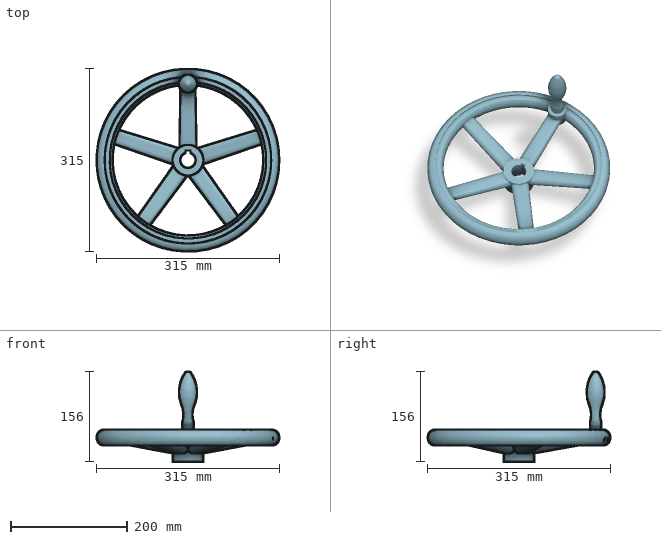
import cadquery as cq
import math

WHEEL_RADIUS = 157.5
RIM_TUBE_RADIUS = 14.0
RIM_RADIUS = WHEEL_RADIUS - RIM_TUBE_RADIUS
RIM_CENTER_Z = 42.0
RIM_TOP_Z = RIM_CENTER_Z + RIM_TUBE_RADIUS
RIM_STEP_DEPTH = 3.0

HUB_RADIUS = 26.5
HUB_HEIGHT = 33.0
BORE_RADIUS = 13.0
KEYWAY_WIDTH = 8.0
KEYWAY_TOP = 16.3

SPOKE_COUNT = 5
SPOKE_FIRST_ANGLE = 90.0
SPOKE_FLAT_WIDTH = 14.0
SPOKE_INNER_RADIUS = 20.0
SPOKE_OUTER_RADIUS = 138.0
SPOKE_INNER_Z = 21.7
SPOKE_OUTER_Z = 40.8
SPOKE_INNER_HALF_THICKNESS = 8.0
SPOKE_OUTER_HALF_THICKNESS = 6.0

HANDLE_Y = 132.0
BOSS_RADIUS = 16.0
BOSS_HEIGHT = 27.0
HANDLE_TOP_Z = 155.97
STEM_RADIUS = 10.0
NECK_RADIUS = 8.0
NECK_Z = 81.6
NECK_ARC_RADIUS = 41.0
GRIP_RADIUS = 15.8
GRIP_ARC_RADIUS = 58.0
TIP_RADIUS = 5.0


def make_rim():
    ring = cq.Workplane("XY").add(
        cq.Solid.makeTorus(RIM_RADIUS, RIM_TUBE_RADIUS, cq.Vector(0, 0, RIM_CENTER_Z))
    )
    step = (
        cq.Workplane("XY")
        .workplane(offset=RIM_TOP_Z - RIM_STEP_DEPTH)
        .circle(RIM_RADIUS)
        .extrude(RIM_STEP_DEPTH)
    )
    return ring.cut(step)


def spoke_section(radius, center_z, half_thickness):
    plane = cq.Plane(origin=(radius, 0, center_z), xDir=(0, 1, 0), normal=(1, 0, 0))
    half_flat = SPOKE_FLAT_WIDTH / 2
    return (
        cq.Workplane(plane)
        .moveTo(-half_flat, -half_thickness)
        .lineTo(half_flat, -half_thickness)
        .threePointArc((half_flat + half_thickness, 0), (half_flat, half_thickness))
        .lineTo(-half_flat, half_thickness)
        .threePointArc((-half_flat - half_thickness, 0), (-half_flat, -half_thickness))
        .close()
        .val()
    )


def make_spoke(angle):
    inner = spoke_section(SPOKE_INNER_RADIUS, SPOKE_INNER_Z, SPOKE_INNER_HALF_THICKNESS)
    outer = spoke_section(SPOKE_OUTER_RADIUS, SPOKE_OUTER_Z, SPOKE_OUTER_HALF_THICKNESS)
    spoke = cq.Solid.makeLoft([inner, outer], True)
    return cq.Workplane("XY").add(spoke.rotate((0, 0, 0), (0, 0, 1), angle))


def make_bore():
    bore = cq.Workplane("XY").circle(BORE_RADIUS).extrude(HUB_HEIGHT)
    keyway = (
        cq.Workplane("XY")
        .center(0, KEYWAY_TOP / 2)
        .rect(KEYWAY_WIDTH, KEYWAY_TOP)
        .extrude(HUB_HEIGHT)
    )
    return bore.union(keyway)


def make_handle():
    neck_center_x = NECK_RADIUS + NECK_ARC_RADIUS
    grip_center_x = GRIP_RADIUS - GRIP_ARC_RADIUS
    center_distance = NECK_ARC_RADIUS + GRIP_ARC_RADIUS
    grip_center_z = NECK_Z + math.sqrt(center_distance**2 - (neck_center_x - grip_center_x) ** 2)

    neck_share = NECK_ARC_RADIUS / center_distance
    joint_x = neck_center_x + neck_share * (grip_center_x - neck_center_x)
    joint_z = NECK_Z + neck_share * (grip_center_z - NECK_Z)

    stem_top_z = NECK_Z - math.sqrt(NECK_ARC_RADIUS**2 - (neck_center_x - STEM_RADIUS) ** 2)
    tip_z = grip_center_z + math.sqrt(GRIP_ARC_RADIUS**2 - (TIP_RADIUS - grip_center_x) ** 2)
    tip_height = HANDLE_TOP_Z - tip_z
    tip_sphere_radius = (TIP_RADIUS**2 + tip_height**2) / (2 * tip_height)

    profile = (
        cq.Workplane("XZ")
        .moveTo(0, RIM_TOP_Z)
        .lineTo(STEM_RADIUS, RIM_TOP_Z)
        .lineTo(STEM_RADIUS, stem_top_z)
        .radiusArc((NECK_RADIUS, NECK_Z), NECK_ARC_RADIUS)
        .radiusArc((joint_x, joint_z), NECK_ARC_RADIUS)
        .threePointArc((GRIP_RADIUS, grip_center_z), (TIP_RADIUS, tip_z))
        .radiusArc((0, HANDLE_TOP_Z), -tip_sphere_radius)
        .close()
    )
    return profile.revolve(360, (0, 0), (0, 1)).translate((0, HANDLE_Y, 0))


def make_boss():
    return (
        cq.Workplane("XY", origin=(0, HANDLE_Y, RIM_TOP_Z))
        .circle(BOSS_RADIUS)
        .extrude(-BOSS_HEIGHT)
    )


def make_handwheel():
    wheel = make_rim().union(cq.Workplane("XY").circle(HUB_RADIUS).extrude(HUB_HEIGHT))
    for index in range(SPOKE_COUNT):
        wheel = wheel.union(make_spoke(SPOKE_FIRST_ANGLE + index * 360 / SPOKE_COUNT))
    wheel = wheel.union(make_boss()).union(make_handle())
    return wheel.cut(make_bore())


result = make_handwheel()